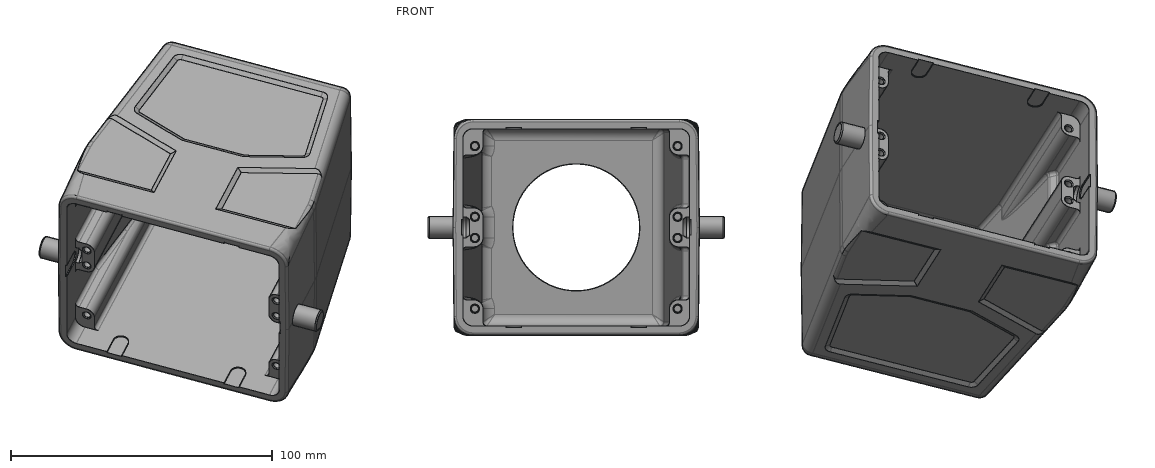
import cadquery as cq
import math


LENGTH = 94.0
HALF_HEIGHT = 82.5 / 2
HALF_WIDTH = 47.02
END_HALF_WIDTH = 38.1
KINK_Y = 30.0
KINK_RADIUS = 22.0
DRAFT = 0.5
EDGE_RADIUS = 4.0
MOUTH_EDGE_RADIUS = 7.5
RIM_RADIUS = 1.0

CAVITY_HALF_WIDTH = 43.3
CAVITY_HALF_HEIGHT = 37.65
CAVITY_CORNER_RADIUS = 3.9
FLOOR_Y = 90.0
FLOOR_RADIUS = 4.4
LEFT_KINK_Y = 31.0
LEFT_FLOOR_X = -36.2
LEFT_LINER_SLOPE = 0.128
RIGHT_STEP_START_Y = 31.6
RIGHT_STEP_END = (40.4, 34.3)
RIGHT_FLOOR_X = 32.9
STEP_RADIUS = 1.5
ENTRY_DIAMETER = 48.4

BOSS_FACE_Y = 9.4
BOSS_INNER_X = 35.6
BOSS_CORNER_RADIUS = 3.4
BOSS_FOOT_RADIUS = 1.5
CAVITY_SEAM_RADIUS = 1.5
SCREW_X = 38.7
OUTER_SCREW_Z = 31.05
INNER_SCREW_Z = 4.05
MIDDLE_BOSS_Z = INNER_SCREW_Z + BOSS_CORNER_RADIUS
CORNER_BOSS_Z = OUTER_SCREW_Z - BOSS_CORNER_RADIUS
SCREW_DIAMETER = 2.7
SCREW_MOUTH_DIAMETER = 3.5
SCREW_DEPTH = 12.0

PIN_DIAMETER = 8.5
PIN_SPAN = 113.2
PIN_Y = 9.0
PIN_CHAMFER = 0.5
CLEARANCE_RADIUS = 4.0
CLEARANCE_INNER_RADIUS = 3.0
CLEARANCE_CONE_X = 42.0
CLEARANCE_INNER_X = 40.7

GROOVE_WIDTH = 6.0
GROOVE_LENGTH = 10.0
GROOVE_DEPTH = 0.5
GROOVE_X = 23.9

RECESS_DEPTH = 1.0
RECESS_WALL_RUN = 1.8
RECESS_EDGE_RADIUS = 2.4
RECESS_SLANT = math.tan(math.radians(19.5))
RECESS_INNER_X = 12.6
GRIP_Y0 = 12.9
GRIP_Y1 = 36.9
GRIP_OUTER_X = 52.0
PANEL_Y0 = 43.1
PANEL_Y1 = 86.4
PANEL_TOP_HALF_WIDTH = 31.1
PANEL_CORNER_RADIUS = 3.0

SIDE_SLOPE = (HALF_WIDTH - END_HALF_WIDTH) / (LENGTH - KINK_Y)
OVERCUT = 3.0
TINY = 0.01
SEARCH_MARGIN = 1.0


def mirrored(shape, plane):
    """The shape together with its mirror image."""
    return shape.union(shape.mirror(plane), clean=False)


def plan_prism(outline, half_depth):
    """Prism along Z, centred on the parting plane, from an XY outline."""
    return cq.Workplane("XY").polyline(outline).close().extrude(half_depth, both=True)


def box_between(x_range, z_range, y_range):
    """Box given by its limits along each axis."""
    size = [high - low for low, high in (x_range, y_range, z_range)]
    corner = (x_range[0], y_range[0], z_range[0])
    return cq.Workplane("XY").box(*size, centered=False).translate(corner)


def y_cylinder(diameter, x, z, y_range):
    """Cylinder along +Y."""
    axis = cq.Vector(0, 1, 0)
    start = cq.Vector(x, y_range[0], z)
    return cq.Workplane(cq.Solid.makeCylinder(diameter / 2, y_range[1] - y_range[0], start, axis))


def sharp_half_shell(height):
    """Upper half of the outer shape, drafted upward, before its edges are rounded."""
    outline = [
        (HALF_WIDTH, -OVERCUT),
        (HALF_WIDTH, KINK_Y),
        (END_HALF_WIDTH, LENGTH),
        (-END_HALF_WIDTH, LENGTH),
        (-HALF_WIDTH, KINK_Y),
        (-HALF_WIDTH, -OVERCUT),
    ]
    prism = cq.Workplane("XY").polyline(outline).close().extrude(height, taper=DRAFT)
    near_kinks = cq.selectors.BoxSelector(
        (-2 * HALF_WIDTH, KINK_Y - SEARCH_MARGIN, 0),
        (2 * HALF_WIDTH, KINK_Y + SEARCH_MARGIN, height),
    )
    prism = prism.edges(near_kinks).edges("not #Z").fillet(KINK_RADIUS)
    mouth_cut = cq.Workplane("XY").box(3 * HALF_WIDTH, 2 * OVERCUT, 3 * height)
    return prism.cut(mouth_cut.translate((0, -OVERCUT, 0)))


def half_shell():
    """Upper half of the outer shape; its side edges widen towards the open end."""
    sharp = sharp_half_shell(HALF_HEIGHT)
    rounding = cq.occ_impl.shapes.BRepFilletAPI_MakeFillet(sharp.val().wrapped)
    for end_edge in sharp.faces(">Y").edges("not <Z").vals():
        rounding.Add(EDGE_RADIUS, end_edge.wrapped)
    for mouth_edge in sharp.faces(">Z").edges("|Y").vals():
        rounding.Add(EDGE_RADIUS, mouth_edge.wrapped)
        chain = rounding.Contour(mouth_edge.wrapped)
        if rounding.Edge(chain, 1).IsSame(mouth_edge.wrapped):
            rounding.SetRadius(MOUTH_EDGE_RADIUS, EDGE_RADIUS, chain, 1)
        else:
            last = rounding.NbEdges(chain)
            rounding.SetRadius(EDGE_RADIUS, MOUTH_EDGE_RADIUS, chain, last)
    rounded = cq.Workplane(cq.Shape.cast(rounding.Shape()))
    return rounded.faces("<Y").edges("not <Z").fillet(RIM_RADIUS)


def recess_core():
    """Upper half of the body that the recesses must leave standing."""
    core = sharp_half_shell(HALF_HEIGHT - RECESS_DEPTH)
    return core.faces(">Z").edges("not #X").edges("not >Y").edges("not <Y").fillet(RECESS_EDGE_RADIUS)


def recess_cutter(outline, depth, rounded_corners):
    """Prism narrowing downward, with the outline true at the face of the shell."""
    wall_angle = math.degrees(math.atan2(RECESS_WALL_RUN, RECESS_DEPTH))
    sketch = cq.Sketch().polygon(outline + outline[:1])
    if rounded_corners:
        sketch = sketch.vertices("<X or >X or >Y").fillet(PANEL_CORNER_RADIUS)
    top = cq.Workplane("XY", origin=(0, 0, HALF_HEIGHT)).placeSketch(sketch)
    return top.extrude(-depth, taper=wall_angle)


def panel_outline():
    lean = SIDE_SLOPE * (PANEL_Y1 - PANEL_Y0) + PANEL_TOP_HALF_WIDTH - RECESS_INNER_X
    lower_x = RECESS_INNER_X + lean / (1 + SIDE_SLOPE * RECESS_SLANT)
    lower_y = PANEL_Y0 + (lower_x - RECESS_INNER_X) * RECESS_SLANT
    right = [(RECESS_INNER_X, PANEL_Y0), (lower_x, lower_y), (PANEL_TOP_HALF_WIDTH, PANEL_Y1)]
    return right + [(-x, y) for x, y in reversed(right)]


def grip_outline():
    outer_y = GRIP_Y1 + (GRIP_OUTER_X - RECESS_INNER_X) * RECESS_SLANT
    return [
        (RECESS_INNER_X, GRIP_Y0),
        (GRIP_OUTER_X, GRIP_Y0),
        (GRIP_OUTER_X, outer_y),
        (RECESS_INNER_X, GRIP_Y1),
    ]


def recesses():
    """All material removed from the upper face."""
    grips = mirrored(recess_cutter(grip_outline(), 2 * RECESS_DEPTH, False), "YZ")
    panel = recess_cutter(panel_outline(), RECESS_DEPTH, True)
    return grips.union(panel).cut(recess_core())


def outer_shell():
    return mirrored(half_shell().cut(recesses()), "XY")


def bosses():
    """Screw bosses, reaching from their screw faces into the closed end."""
    y_range = (BOSS_FACE_Y, LENGTH)
    x_range = (BOSS_INNER_X, HALF_WIDTH)
    middle = box_between(x_range, (-MIDDLE_BOSS_Z, MIDDLE_BOSS_Z), y_range)
    middle = middle.edges("|Y and <X").fillet(BOSS_CORNER_RADIUS)
    corner = box_between(x_range, (CORNER_BOSS_Z, HALF_HEIGHT), y_range)
    corner = corner.edges("|Y and <X and <Z").fillet(BOSS_CORNER_RADIUS)
    return mirrored(middle.union(mirrored(corner, "XY")), "YZ")


def is_boss_foot(edge):
    """True for the edges where the flat sides of the bosses meet the cavity walls."""
    box = edge.BoundingBox()
    level = abs(box.center.z)
    in_side_plane = box.zlen < TINY and min(abs(level - MIDDLE_BOSS_Z), abs(level - CORNER_BOSS_Z)) < TINY
    on_boss_face = box.ylen < TINY
    on_boss_corner = abs(abs(box.center.x) - BOSS_INNER_X - BOSS_CORNER_RADIUS) < TINY and box.xlen < TINY
    return in_side_plane and not on_boss_face and not on_boss_corner


def is_cavity_seam(edge):
    """True for the long edges where the large walls meet a boss or a leaning wall."""
    box = edge.BoundingBox()
    on_large_wall = box.zlen < TINY and abs(abs(box.center.z) - CAVITY_HALF_HEIGHT) < TINY
    return on_large_wall and box.ylen > FLOOR_RADIUS and abs(box.center.x) < BOSS_INNER_X + TINY


def left_liner():
    """Thin wedge on the left wall, from its kink to the rounding of the floor."""
    tip_x = LEFT_LINER_SLOPE * (LENGTH - LEFT_KINK_Y) - CAVITY_HALF_WIDTH
    outline = [(-CAVITY_HALF_WIDTH, LEFT_KINK_Y), (tip_x, LENGTH), (-CAVITY_HALF_WIDTH, LENGTH)]
    return plan_prism(outline, CAVITY_HALF_HEIGHT)


def cavity():
    outline = [
        (-CAVITY_HALF_WIDTH, -OVERCUT),
        (-CAVITY_HALF_WIDTH, LEFT_KINK_Y),
        (LEFT_FLOOR_X, FLOOR_Y),
        (RIGHT_FLOOR_X, FLOOR_Y),
        RIGHT_STEP_END,
        (CAVITY_HALF_WIDTH, RIGHT_STEP_START_Y),
        (CAVITY_HALF_WIDTH, -OVERCUT),
    ]
    plan = plan_prism(outline, CAVITY_HALF_HEIGHT)
    near_step = cq.selectors.BoxSelector(
        (RIGHT_STEP_END[0] - SEARCH_MARGIN, RIGHT_STEP_START_Y - SEARCH_MARGIN, -SEARCH_MARGIN),
        (CAVITY_HALF_WIDTH + SEARCH_MARGIN, RIGHT_STEP_END[1] + SEARCH_MARGIN, SEARCH_MARGIN),
    )
    plan = plan.edges("|Z").edges(near_step).fillet(STEP_RADIUS)
    mouth = box_between(
        (-CAVITY_HALF_WIDTH, CAVITY_HALF_WIDTH),
        (-CAVITY_HALF_HEIGHT, CAVITY_HALF_HEIGHT),
        (-OVERCUT, FLOOR_Y),
    )
    space = plan.intersect(mouth.edges("|Y").fillet(CAVITY_CORNER_RADIUS))
    space = space.cut(bosses())
    space = space.faces(">Y").edges().fillet(FLOOR_RADIUS)
    space = space.edges().filter(is_cavity_seam).fillet(CAVITY_SEAM_RADIUS)
    space = space.edges().filter(is_boss_foot).fillet(BOSS_FOOT_RADIUS)
    return space.cut(left_liner())


def locking_pins():
    root_x = (CAVITY_HALF_WIDTH + HALF_WIDTH) / 2
    length = PIN_SPAN / 2 - root_x
    pin = cq.Workplane("YZ", origin=(root_x, PIN_Y, 0)).circle(PIN_DIAMETER / 2).extrude(length)
    return mirrored(pin.faces(">X").chamfer(PIN_CHAMFER), "YZ")


def pin_clearances():
    """Stepped pocket behind each pin: a cylinder ending in a cone, notching the middle boss."""
    profile = [
        (CAVITY_HALF_WIDTH, PIN_Y),
        (CAVITY_HALF_WIDTH, PIN_Y + CLEARANCE_RADIUS),
        (CLEARANCE_CONE_X, PIN_Y + CLEARANCE_RADIUS),
        (CLEARANCE_INNER_X, PIN_Y + CLEARANCE_INNER_RADIUS),
        (CLEARANCE_INNER_X, PIN_Y),
    ]
    pocket = cq.Workplane("XY").polyline(profile).close().revolve(360, (0, PIN_Y, 0), (1, PIN_Y, 0))
    return mirrored(pocket, "YZ")


def guide_grooves():
    """Grooves from the open end: two in each large wall and one in each narrow wall."""
    large_wall = cq.Workplane("XY", origin=(0, 0, CAVITY_HALF_HEIGHT))
    narrow_wall = cq.Workplane("YZ", origin=(CAVITY_HALF_WIDTH, 0, 0))
    top = large_wall.pushPoints([(-GROOVE_X, 0), (GROOVE_X, 0)])
    top = top.slot2D(2 * GROOVE_LENGTH, GROOVE_WIDTH, 90).extrude(GROOVE_DEPTH)
    side = narrow_wall.slot2D(2 * GROOVE_LENGTH, GROOVE_WIDTH).extrude(GROOVE_DEPTH)
    return mirrored(top, "XY").union(mirrored(side, "YZ"))


def cable_entry():
    return y_cylinder(ENTRY_DIAMETER, 0, 0, (FLOOR_Y - OVERCUT, LENGTH + OVERCUT))


def screw_holes():
    mouth_depth = (SCREW_MOUTH_DIAMETER - SCREW_DIAMETER) / 2
    holes = cq.Workplane("XY")
    for x in (-SCREW_X, SCREW_X):
        for z in (-OUTER_SCREW_Z, -INNER_SCREW_Z, INNER_SCREW_Z, OUTER_SCREW_Z):
            hole = y_cylinder(SCREW_DIAMETER, x, z, (BOSS_FACE_Y, BOSS_FACE_Y + SCREW_DEPTH))
            mouth = cq.Solid.makeCone(
                SCREW_MOUTH_DIAMETER / 2,
                SCREW_DIAMETER / 2,
                mouth_depth,
                cq.Vector(x, BOSS_FACE_Y, z),
                cq.Vector(0, 1, 0),
            )
            holes = holes.add(hole).add(mouth)
    return holes.combine()


result = outer_shell().cut(cavity()).union(locking_pins(), clean=False)
result = result.cut(pin_clearances()).cut(guide_grooves()).cut(screw_holes()).cut(cable_entry())